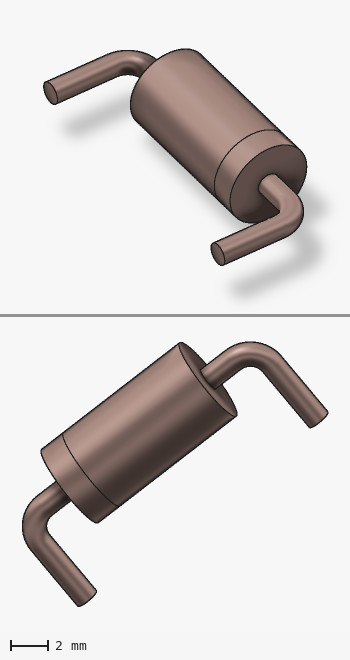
import cadquery as cq

overall_length = 17.32
housing_diameter = 5.0
housing_length = 9.55
band_length = 1.5
wire_diameter = 1.32
bend_radius = 1.49
overall_depth = 8.0

housing_radius = housing_diameter / 2
wire_radius = wire_diameter / 2
housing_end_x = housing_length / 2
band_start_x = housing_end_x - band_length
leg_x = (overall_length - wire_diameter) / 2
bend_start_x = leg_x - bend_radius
tip_y = housing_radius - overall_depth


def bored_cylinder(start_x, end_x):
    """Cylinder along X with a clear bore that fits the wire."""
    return (
        cq.Workplane("YZ", origin=(start_x, 0, 0))
        .circle(housing_radius)
        .circle(wire_radius)
        .extrude(end_x - start_x)
    )


def make_wire():
    """One round wire through the housing, with both ends bent towards -Y."""
    centreline = (
        cq.Workplane("XY")
        .moveTo(-leg_x, tip_y)
        .lineTo(-leg_x, -bend_radius)
        .radiusArc((-bend_start_x, 0), bend_radius)
        .lineTo(bend_start_x, 0)
        .radiusArc((leg_x, -bend_radius), bend_radius)
        .lineTo(leg_x, tip_y)
    )
    return cq.Workplane("XZ", origin=(-leg_x, tip_y, 0)).circle(wire_radius).sweep(centreline)


housing = bored_cylinder(-housing_end_x, band_start_x)
band = bored_cylinder(band_start_x, housing_end_x)
wire = make_wire()

result = cq.Compound.makeCompound([housing.val(), band.val(), wire.val()])